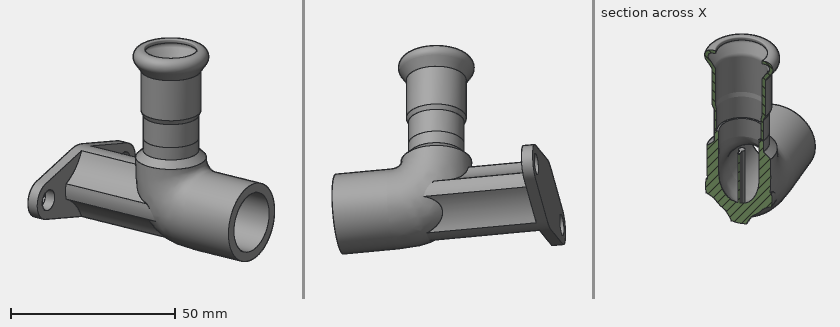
import cadquery as cq
import math


FLANGE_BACK_X = -35.0
FLANGE_THICKNESS = 3.5
FLANGE_FRONT_X = FLANGE_BACK_X + FLANGE_THICKNESS
FLANGE_CENTRE_RADIUS = 11.0
FLANGE_END_RADIUS = 6.0
SCREW_OFFSET = 20.0
SCREW_HOLE_DIAMETER = 6.5

WEB_RADIUS = FLANGE_CENTRE_RADIUS
RIB_THICKNESS = 5.0
FLUTE_RADIUS = 16.0
WEB_END_X = 7.0

BRANCH_END_X = 30.0
BRANCH_RADIUS = 24.5 / 2
BRANCH_BORE_RADIUS = 18.63 / 2
COLLAR_RADIUS = 21.6 / 2
STUB_BORE_RADIUS = 14.0 / 2
BEND_INNER_RADIUS = 2.1
BEND_FULLNESS = 2.6
BEND_SECTIONS = 7
PIVOT_X = COLLAR_RADIUS + BEND_INNER_RADIUS
PIVOT_Z = BRANCH_RADIUS + BEND_INNER_RADIUS

COLLAR_TOP_Z = 14.8
STUB_BOTTOM_Z = 17.0
JOINT_Z = 21.0
STUB_RADIUS = 17.0 / 2

POST_RADIUS = 1.0
POST_RIB_THICKNESS = 0.8

TUBE_TOP_Z = 50.0
TUBE_BORE_RADIUS = 15.2 / 2
SOCKET_RADIUS = 18.3 / 2
SOCKET_BORE_RADIUS = 15.8 / 2
STEP_BOTTOM_Z = 28.5
STEP_TOP_Z = 30.0
BEAD_OUTER_RADIUS = 23.1 / 2
BEAD_SECTION_RADIUS = 2.6
BEAD_CONE_ANGLE = 34.0
SHEET_THICKNESS = SOCKET_RADIUS - SOCKET_BORE_RADIUS
LIP_ROUND = 0.4
CAVITY_ROUND = 2.0


def flange():
    """Rounded diamond: the hull of a centre disc and two end discs, with two screw holes."""
    tangent_sine = (FLANGE_CENTRE_RADIUS - FLANGE_END_RADIUS) / SCREW_OFFSET
    tangent_cosine = math.sqrt(1 - tangent_sine**2)
    mid_y = FLANGE_CENTRE_RADIUS * tangent_sine
    mid_z = FLANGE_CENTRE_RADIUS * tangent_cosine
    end_y = SCREW_OFFSET + FLANGE_END_RADIUS * tangent_sine
    end_z = FLANGE_END_RADIUS * tangent_cosine
    tip_y = SCREW_OFFSET + FLANGE_END_RADIUS
    outline = (
        cq.Workplane("YZ", origin=(FLANGE_BACK_X, 0, 0))
        .moveTo(-mid_y, mid_z)
        .threePointArc((0, FLANGE_CENTRE_RADIUS), (mid_y, mid_z))
        .lineTo(end_y, end_z)
        .threePointArc((tip_y, 0), (end_y, -end_z))
        .lineTo(mid_y, -mid_z)
        .threePointArc((0, -FLANGE_CENTRE_RADIUS), (-mid_y, -mid_z))
        .lineTo(-end_y, -end_z)
        .threePointArc((-tip_y, 0), (-end_y, end_z))
        .close()
    )
    screw_holes = (
        cq.Workplane("YZ", origin=(FLANGE_BACK_X, 0, 0))
        .pushPoints([(-SCREW_OFFSET, 0), (SCREW_OFFSET, 0)])
        .circle(SCREW_HOLE_DIAMETER / 2)
        .extrude(FLANGE_THICKNESS)
    )
    return outline.extrude(FLANGE_THICKNESS).cut(screw_holes)


def web():
    """Cross of four round-tipped ribs joined by shallow round flutes."""
    half_rib = RIB_THICKNESS / 2
    rib_edge = math.sqrt(WEB_RADIUS**2 - half_rib**2)
    half_chord = (rib_edge - half_rib) * math.sqrt(0.5)
    flute_depth = FLUTE_RADIUS - math.sqrt(FLUTE_RADIUS**2 - half_chord**2)
    flute_middle = (rib_edge + half_rib) / 2 - flute_depth * math.sqrt(0.5)
    outline = cq.Workplane("YZ", origin=(FLANGE_FRONT_X, 0, 0)).moveTo(rib_edge, -half_rib)
    for across, up in [(1, 0), (0, 1), (-1, 0), (0, -1)]:
        def place(along, beside):
            return (along * across - beside * up, along * up + beside * across)

        outline = outline.threePointArc(place(WEB_RADIUS, 0), place(rib_edge, half_rib))
        outline = outline.threePointArc(place(flute_middle, flute_middle), place(half_rib, rib_edge))
    return outline.close().extrude(WEB_END_X - FLANGE_FRONT_X)


def bend(start_radius, end_radius):
    """Quarter bend about the inner pivot, from a circle facing +Z to a larger one facing +X.

    The sections are ellipses in planes through the pivot. The inner side of the bend follows a plain
    ellipse and the outer side a fuller one.
    """

    def reach(start, end, angle, exponent):
        start_part = (math.cos(angle) / start) ** exponent
        end_part = (math.sin(angle) / end) ** exponent
        return (start_part + end_part) ** (-1 / exponent)

    wires = []
    for index in range(BEND_SECTIONS):
        angle = index / (BEND_SECTIONS - 1) * math.pi / 2
        inner = reach(PIVOT_X - start_radius, PIVOT_Z - end_radius, angle, 2)
        outer = reach(PIVOT_X + start_radius, PIVOT_Z + end_radius, angle, BEND_FULLNESS)
        half_width = start_radius + (end_radius - start_radius) * math.sin(angle) ** 2
        half_height = max((outer - inner) / 2, half_width)
        outward = cq.Vector(-math.cos(angle), 0, -math.sin(angle))
        normal = cq.Vector(math.sin(angle), 0, -math.cos(angle))
        centre = cq.Vector(PIVOT_X, 0, PIVOT_Z) + outward * ((outer + inner) / 2)
        wires.append(cq.Wire.makeEllipse(half_height, half_width, centre, normal, outward))
    return cq.Workplane(cq.Solid.makeLoft(wires))


def branch(radius):
    """Cylinder along +X from the end of the bend to the branch mouth."""
    return cq.Workplane("YZ", origin=(PIVOT_X, 0, 0)).circle(radius).extrude(BRANCH_END_X - PIVOT_X)


def collar():
    """Collar above the bend, with a cone up to the stub that carries the press tube."""
    return (
        cq.Workplane("XZ")
        .moveTo(0, PIVOT_Z)
        .lineTo(COLLAR_RADIUS, PIVOT_Z)
        .lineTo(COLLAR_RADIUS, COLLAR_TOP_Z)
        .lineTo(STUB_RADIUS, STUB_BOTTOM_Z)
        .lineTo(STUB_RADIUS, JOINT_Z)
        .lineTo(0, JOINT_Z)
        .close()
        .revolve(360, (0, 0, 0), (0, 1, 0))
    )


def stub_bore():
    """Straight bore from the top of the bend up to the joint with the press tube."""
    return cq.Workplane("XY", origin=(0, 0, PIVOT_Z)).circle(STUB_BORE_RADIUS).extrude(JOINT_Z - PIVOT_Z)


def post(outer_bend):
    """Post on the tube axis with a thin rib to the -X wall, rising from the bend floor to the bend top."""
    height = PIVOT_Z + BRANCH_RADIUS
    base = cq.Workplane("XY", origin=(0, 0, -BRANCH_RADIUS))
    pin = base.circle(POST_RADIUS).extrude(height)
    rib = base.center(-COLLAR_RADIUS / 2, 0).rect(COLLAR_RADIUS, POST_RIB_THICKNESS).extrude(height)
    return pin.union(rib).intersect(outer_bend)


def casting():
    """Flange, web, elbow, branch and stub in one piece, bored through from the stub to the branch."""
    outer_bend = bend(COLLAR_RADIUS, BRANCH_RADIUS)
    body = flange().union(web()).union(outer_bend).union(branch(BRANCH_RADIUS)).union(collar())
    body = body.cut(bend(STUB_BORE_RADIUS, BRANCH_BORE_RADIUS))
    body = body.cut(branch(BRANCH_BORE_RADIUS)).cut(stub_bore())
    return body.union(post(outer_bend))


def press_tube():
    """Revolved sheet-metal tube: plain lower end, wider socket, and a hollow bead at the mouth."""
    angle = math.radians(BEAD_CONE_ANGLE)
    bead_r = BEAD_OUTER_RADIUS - BEAD_SECTION_RADIUS
    bead_z = TUBE_TOP_Z - BEAD_SECTION_RADIUS
    cavity_radius = BEAD_SECTION_RADIUS - SHEET_THICKNESS
    lip_bottom_z = bead_z + cavity_radius

    cone_r = bead_r + BEAD_SECTION_RADIUS * math.cos(angle)
    cone_z = bead_z - BEAD_SECTION_RADIUS * math.sin(angle)
    cone_bottom_z = cone_z - (cone_r - SOCKET_RADIUS) / math.tan(angle)
    inner_cone_r = bead_r + cavity_radius * math.cos(angle)
    inner_cone_z = bead_z - cavity_radius * math.sin(angle)
    inner_cone_bottom_z = inner_cone_z - (inner_cone_r - SOCKET_BORE_RADIUS) / math.tan(angle)

    round_length = CAVITY_ROUND * math.tan(angle / 2)
    round_top = (
        SOCKET_BORE_RADIUS + round_length * math.sin(angle),
        inner_cone_bottom_z + round_length * math.cos(angle),
    )
    round_bottom_z = inner_cone_bottom_z - round_length
    round_middle = (
        SOCKET_BORE_RADIUS + CAVITY_ROUND * (1 - math.cos(angle / 2)),
        round_bottom_z + CAVITY_ROUND * math.sin(angle / 2),
    )

    return (
        cq.Workplane("XZ")
        .moveTo(TUBE_BORE_RADIUS, JOINT_Z)
        .lineTo(STUB_RADIUS, JOINT_Z)
        .lineTo(STUB_RADIUS, STEP_BOTTOM_Z)
        .lineTo(SOCKET_RADIUS, STEP_TOP_Z)
        .lineTo(SOCKET_RADIUS, cone_bottom_z)
        .lineTo(cone_r, cone_z)
        .threePointArc((BEAD_OUTER_RADIUS, bead_z), (bead_r, TUBE_TOP_Z))
        .lineTo(SOCKET_BORE_RADIUS + LIP_ROUND, TUBE_TOP_Z)
        .tangentArcPoint((SOCKET_BORE_RADIUS, TUBE_TOP_Z - LIP_ROUND), relative=False)
        .lineTo(SOCKET_BORE_RADIUS, lip_bottom_z + LIP_ROUND)
        .tangentArcPoint((SOCKET_BORE_RADIUS + LIP_ROUND, lip_bottom_z), relative=False)
        .lineTo(bead_r, lip_bottom_z)
        .threePointArc((bead_r + cavity_radius, bead_z), (inner_cone_r, inner_cone_z))
        .lineTo(*round_top)
        .threePointArc(round_middle, (SOCKET_BORE_RADIUS, round_bottom_z))
        .lineTo(SOCKET_BORE_RADIUS, STEP_TOP_Z)
        .lineTo(TUBE_BORE_RADIUS, STEP_BOTTOM_Z)
        .close()
        .revolve(360, (0, 0, 0), (0, 1, 0))
    )


result = cq.Compound.makeCompound([casting().val(), press_tube().val()])